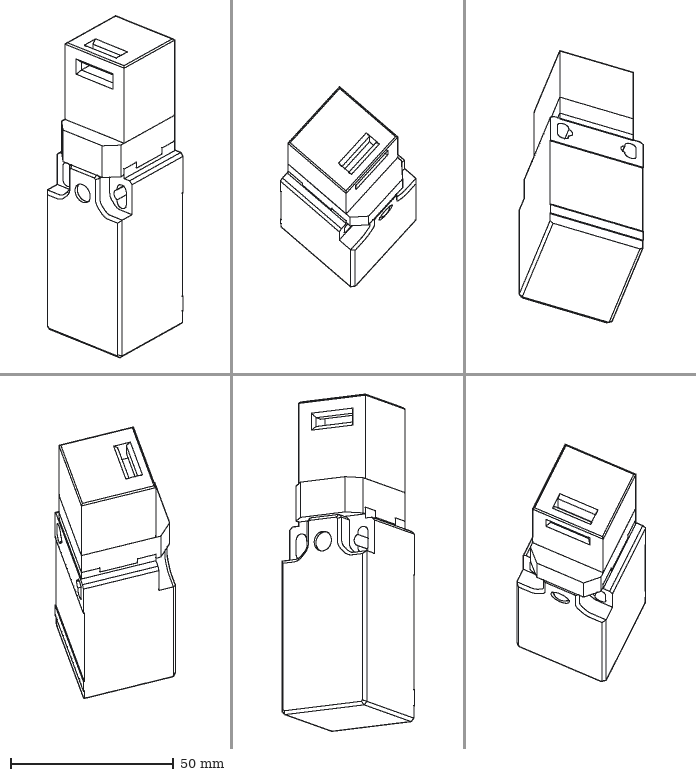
import cadquery as cq
import math

TOTAL_HEIGHT = 99.1
EDGE_CHAMFER = 1.0

HOUSING_WIDTH = 30.3
HALF_WIDTH = HOUSING_WIDTH / 2
FRONT_Y = -14.8
BACK_Y = 14.9
SHOULDER_Z = 60.0

LEDGE_Z = 48.5
TONGUE_HALF_WIDTH = 6.1
TONGUE_TOP_Z = 60.9
TONGUE_CORNER = 4.4
TONGUE_CORNER_RADIUS = 3.2

PAD_THICKNESS = 0.3
UPPER_PAD_BOTTOM_Z = 46.1
LOWER_PAD_BOTTOM_Z = 5.0
LOWER_PAD_TOP_Z = 10.0

HOLE_X = 11.0
HOLE_Z = 53.3
HOLE_WIDTH = 3.7
HOLE_HEIGHT = 8.1
HOLE_BULGE_OFFSET = 1.3

DOME_RADIUS = 3.1
DOME_SPHERE_RADIUS = 4.0
DOME_Z = 52.9
DOME_PROTRUSION = 0.4

NECK_WIDTH = 24.0
NECK_FRONT_Y = BACK_Y - NECK_WIDTH
NECK_MID_Y = (BACK_Y + NECK_FRONT_Y) / 2
NECK_TOP_Z = 63.3
NECK_GROOVE_WIDTH = 12.1
COLLAR_BOTTOM_Z = 61.2
COLLAR_TOP_Z = 72.3
COLLAR_CORNER = 4.1
HEAD_CHAMFER = 0.5

SLOT_WIDTH = 12.9
SLOT_HEIGHT = 2.8
SLOT_FLARE = 1.3
SIDE_FLARE = 1.0
FLARE_DEPTH = 1.3
FRONT_SLOT_Z = 92.4
TOP_SLOT_Y = -3.8
FRONT_SLOT_DEPTH = TOP_SLOT_Y + SLOT_HEIGHT / 2 - NECK_FRONT_Y
TOP_SLOT_DEPTH = TOTAL_HEIGHT - FRONT_SLOT_Z + SLOT_HEIGHT / 2


def box(width, y_front, y_back, z_bottom, z_top):
    """Box centred on X between the given depths and heights."""
    return (
        cq.Workplane("XY")
        .box(width, y_back - y_front, z_top - z_bottom, centered=(True, False, False))
        .translate((0, y_front, z_bottom))
    )


def extrude_back(sketch, y_front, y_back):
    """Extrude an XZ outline drawn at Y = 0 so that it fills y_front to y_back."""
    return sketch.extrude(y_front - y_back).translate((0, y_front, 0))


def slot_funnel(depth, flare_x):
    """Slot with a flared mouth at Z = 0, running down along -Z."""
    mouth = (
        cq.Workplane("XY")
        .rect(SLOT_WIDTH + 2 * flare_x, SLOT_HEIGHT + 2 * SLOT_FLARE)
        .workplane(offset=-FLARE_DEPTH)
        .rect(SLOT_WIDTH, SLOT_HEIGHT)
        .loft(ruled=True)
    )
    shaft = cq.Workplane("XY").rect(SLOT_WIDTH, SLOT_HEIGHT).extrude(-depth)
    return mouth.union(shaft)


def make_rear_block():
    """Block behind the front panel, with the ears at its upper front and the neck on top."""
    block = box(HOUSING_WIDTH, NECK_FRONT_Y, BACK_Y + PAD_THICKNESS, 0, SHOULDER_Z)
    block = block.edges("|Y").chamfer(EDGE_CHAMFER)
    for z_bottom, z_top in ((0, LOWER_PAD_BOTTOM_Z), (LOWER_PAD_TOP_Z, UPPER_PAD_BOTTOM_Z)):
        block = block.cut(box(HOUSING_WIDTH, BACK_Y, BACK_Y + PAD_THICKNESS, z_bottom, z_top))
    neck = box(NECK_WIDTH, NECK_FRONT_Y, BACK_Y, SHOULDER_Z, NECK_TOP_Z)
    return block.union(neck).cut(make_neck_key())


def make_neck_key():
    """Bar along X that keys the collar into the neck."""
    half = NECK_GROOVE_WIDTH / 2
    return box(NECK_WIDTH, NECK_MID_Y - half, NECK_MID_Y + half, COLLAR_BOTTOM_Z, NECK_TOP_Z)


def make_front_panel():
    """Front panel with a central tongue, chamfered all round its front face."""
    near = TONGUE_CORNER_RADIUS * (1 - math.sqrt(0.5))
    far = TONGUE_CORNER_RADIUS * math.sqrt(0.5)
    corner_x = TONGUE_HALF_WIDTH + TONGUE_CORNER
    corner_z = LEDGE_Z + TONGUE_CORNER
    outline = (
        cq.Workplane("XZ")
        .moveTo(-HALF_WIDTH + EDGE_CHAMFER, 0)
        .lineTo(HALF_WIDTH - EDGE_CHAMFER, 0)
        .lineTo(HALF_WIDTH, EDGE_CHAMFER)
        .lineTo(HALF_WIDTH, LEDGE_Z)
        .lineTo(corner_x, LEDGE_Z)
        .radiusArc((corner_x - far, LEDGE_Z + near), TONGUE_CORNER_RADIUS)
        .lineTo(TONGUE_HALF_WIDTH + near, corner_z - far)
        .radiusArc((TONGUE_HALF_WIDTH, corner_z), TONGUE_CORNER_RADIUS)
        .lineTo(TONGUE_HALF_WIDTH, TONGUE_TOP_Z - EDGE_CHAMFER)
        .lineTo(TONGUE_HALF_WIDTH - EDGE_CHAMFER, TONGUE_TOP_Z)
        .lineTo(-TONGUE_HALF_WIDTH + EDGE_CHAMFER, TONGUE_TOP_Z)
        .lineTo(-TONGUE_HALF_WIDTH, TONGUE_TOP_Z - EDGE_CHAMFER)
        .lineTo(-TONGUE_HALF_WIDTH, corner_z)
        .radiusArc((-TONGUE_HALF_WIDTH - near, corner_z - far), TONGUE_CORNER_RADIUS)
        .lineTo(-corner_x + far, LEDGE_Z + near)
        .radiusArc((-corner_x, LEDGE_Z), TONGUE_CORNER_RADIUS)
        .lineTo(-HALF_WIDTH, LEDGE_Z)
        .lineTo(-HALF_WIDTH, EDGE_CHAMFER)
        .close()
    )
    panel = extrude_back(outline, FRONT_Y, NECK_FRONT_Y)
    return panel.faces("<Y").chamfer(EDGE_CHAMFER)


def make_mounting_hole(side):
    """Cutter for one mounting hole through the ears; side is -1 or +1."""
    back = BACK_Y + PAD_THICKNESS
    slot = cq.Workplane("XZ").center(side * HOLE_X, HOLE_Z).slot2D(HOLE_HEIGHT, HOLE_WIDTH, 90)
    bulge_x = side * (HOLE_X - HOLE_BULGE_OFFSET)
    bulge = cq.Workplane("XZ").center(bulge_x, HOLE_Z).circle(HOLE_WIDTH / 2)
    return extrude_back(slot, FRONT_Y, back).union(extrude_back(bulge, FRONT_Y, back))


def make_housing():
    housing = make_rear_block().union(make_front_panel())
    for side in (-1, 1):
        housing = housing.cut(make_mounting_hole(side))

    sphere_y = FRONT_Y - DOME_PROTRUSION + DOME_SPHERE_RADIUS
    rim_y = sphere_y - math.sqrt(DOME_SPHERE_RADIUS**2 - DOME_RADIUS**2)
    recess = extrude_back(cq.Workplane("XZ").center(0, DOME_Z).circle(DOME_RADIUS), FRONT_Y, rim_y)
    dome = cq.Workplane("XY").sphere(DOME_SPHERE_RADIUS).translate((0, sphere_y, DOME_Z))
    dome = dome.intersect(box(HOUSING_WIDTH, FRONT_Y - DOME_PROTRUSION, sphere_y, 0, TONGUE_TOP_Z))
    return housing.cut(recess).union(dome)


def make_collar():
    """Collar that overhangs the tongue in front and is keyed into the neck below."""
    collar = box(NECK_WIDTH, FRONT_Y, BACK_Y, COLLAR_BOTTOM_Z, COLLAR_TOP_Z)
    collar = collar.edges("|Z and <Y").chamfer(COLLAR_CORNER)
    neck_space = box(NECK_WIDTH, NECK_FRONT_Y, BACK_Y, COLLAR_BOTTOM_Z, NECK_TOP_Z)
    return collar.cut(neck_space.cut(make_neck_key()))


def make_head():
    """Square head with key slots in its front and top faces."""
    head = box(NECK_WIDTH, NECK_FRONT_Y, BACK_Y, COLLAR_TOP_Z, TOTAL_HEIGHT)
    head = head.faces(">Z").chamfer(HEAD_CHAMFER)
    front_slot = slot_funnel(FRONT_SLOT_DEPTH, SIDE_FLARE).rotate((0, 0, 0), (1, 0, 0), 90)
    front_slot = front_slot.translate((0, NECK_FRONT_Y, FRONT_SLOT_Z))
    top_slot = slot_funnel(TOP_SLOT_DEPTH, 0).translate((0, TOP_SLOT_Y, TOTAL_HEIGHT))
    return head.cut(front_slot).cut(top_slot)


housing = make_housing()
collar = make_collar()
head = make_head()

result = cq.Compound.makeCompound([housing.val(), collar.val(), head.val()])